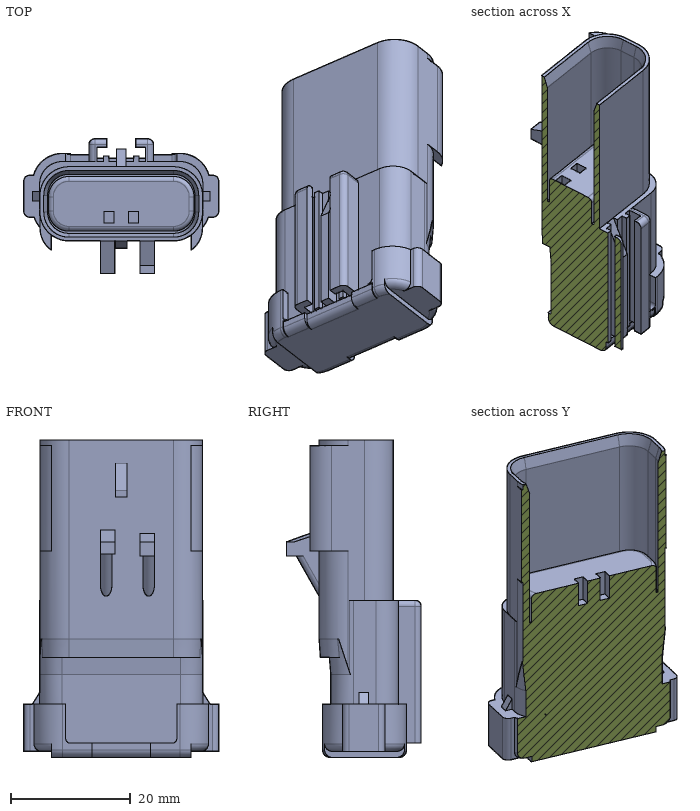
import cadquery as cq
import math

TOTAL_HEIGHT = 53.0

SHELL_HALF_X = 13.55
SHELL_HALF_Y = 6.2
SHELL_RADIUS = 4.8
RIM_WALL = 0.65
LEAD_IN_DEPTH = 1.95
CAVITY_WALL = 1.25
CAVITY_FLOOR_Z = 26.5

MOAT_END = 0.15
MOAT_SIDE = 0.35
ISLAND_TOP_Z = 31.8
ISLAND_ROUND = 0.8
TERMINAL_SIZE = (1.65, 1.95)
TERMINAL_SPACING = 4.1
TERMINAL_Y = -2.2
TERMINAL_DEPTH = 4.25

LOWER_HALF_X = 13.6
LOWER_FRONT_Y = -4.25
LOWER_BACK_Y = 7.05
LOWER_RADIUS = 3.75
LOWER_TOP_Z = 26.25

TRANSITION_TOP_Z = 19.75
STEP_Z = 16.7
TRANSITION_BOTTOM_Z = 13.85
TRANSITION_TOP_Y = -2.9
TRANSITION_BOTTOM_Y = -0.95
STEP_DRAFT = 4.0
FLARE_DRAFT = 5.0

COLLAR_MARGIN_X = 1.2
COLLAR_MARGIN_Y = 1.4
COLLAR_RADIUS = 5.05
COLLAR_TOP_Z = 8.9
COLLAR_BOTTOM_Z = 1.0
COLLAR_ROUND = 1.25
FOOT_HALF_X = 11.65
EAR_SPAN = 32.6
EAR_WIDTH = 7.05
EAR_MID_Y = 1.25
EAR_ROUND = 1.05
WINDOW_HALF_X = 9.3
WINDOW_BOTTOM_Z = 2.4
WINDOW_RADIUS = 0.8
BACK_SILL_INSET = 0.2
SILL_NOTCH_HALF_X = 4.9
SILL_NOTCH_DEPTH = 0.8
GUSSET_TOP_Z = 10.85
GUSSET_REACH = 1.2
GUSSET_WIDTH = 1.6

WING_INNER_X = 11.65
WING_TIP_Y = -7.75
WING_ARC_Y = -4.1
WING_BOTTOM_Z = 34.45
WING_TOP_Z = 52.05

TAB_WIDTH = 1.95
TAB_REACH = 1.2
TAB_TOP_Z = 49.1
TAB_EDGE_Z = 44.5
TAB_BOTTOM_Z = 43.45

HOOK_TIP_Y = -11.65
HOOK_TIP_Z = 36.0
HOOK_WIDTH = 2.45
LEFT_HOOK_X = -3.5
RIGHT_HOOK_X = 3.15
LEFT_HOOK_ROOT_Z = 37.95
RIGHT_HOOK_ROOT_Z = 37.35
LEFT_HOOK_UNDER_Z = 33.9
RIGHT_HOOK_UNDER_Z = 33.6
RIGHT_HOOK_FLAT = 1.4
WEB_WIDTH = 1.95
WEB_FOOT_Z = 26.9
WEB_TOP_Y = -9.95

RAIL_OUTER_X = 5.4
RAIL_LEG = 1.4
RAIL_LIP = 3.0
RAIL_LIP_THICKNESS = 1.45
RAIL_BACK_Y = 10.85
RAIL_ROUND = 1.0
LATCH_WIDTH = 1.65
LATCH_BACK_Y = 9.15
LATCH_DROP = 6.35
RIB_SPACING = 5.05
RIB_WIDTH = 0.9
RIB_BACK_Y = 8.0

OVERLAP = 0.55

LOWER_MID_Y = (LOWER_FRONT_Y + LOWER_BACK_Y) / 2
LOWER_HALF_Y = (LOWER_BACK_Y - LOWER_FRONT_Y) / 2
COLLAR_HALF_X = LOWER_HALF_X + COLLAR_MARGIN_X
COLLAR_HALF_Y = LOWER_HALF_Y + COLLAR_MARGIN_Y


def box(x0, x1, y0, y1, z0, z1):
    """Box given by its limits along each axis."""
    return cq.Workplane("XY").box(x1 - x0, y1 - y0, z1 - z0, centered=False).translate((x0, y0, z0))


def rounded_section(half_x, half_y, radius, z, mid_y=0.0):
    """Rounded rectangle at height z, ready to extrude."""
    sketch = cq.Sketch().rect(2 * half_x, 2 * half_y).vertices().fillet(radius)
    return cq.Workplane("XY", origin=(0, mid_y, z)).placeSketch(sketch)


def side_profile(points, x0, width):
    """Closed outline of (y, z) points, extruded along +X from x0."""
    return cq.Workplane("YZ", origin=(x0, 0, 0)).polyline(points).close().extrude(width)


def both_sides(part):
    """The part together with its mirror image across X = 0."""
    return part.union(part.mirror("YZ"))


def transition_zone():
    """Wedge of space in front of the sloped boundary between shell and lower body."""
    front = HOOK_TIP_Y
    points = [
        (front, TRANSITION_BOTTOM_Z),
        (TRANSITION_BOTTOM_Y, TRANSITION_BOTTOM_Z),
        (TRANSITION_TOP_Y, TRANSITION_TOP_Z),
        (front, TRANSITION_TOP_Z),
    ]
    return side_profile(points, -EAR_SPAN / 2, EAR_SPAN)


def make_body():
    """Upper shell, lower body and the drafted step between them."""
    zone = transition_zone()
    shell = rounded_section(SHELL_HALF_X, SHELL_HALF_Y, SHELL_RADIUS, TRANSITION_BOTTOM_Z)
    shell = shell.extrude(TOTAL_HEIGHT - TRANSITION_BOTTOM_Z).cut(zone)
    step = rounded_section(SHELL_HALF_X, SHELL_HALF_Y, SHELL_RADIUS, TRANSITION_TOP_Z)
    step = step.extrude(STEP_Z - TRANSITION_TOP_Z, taper=STEP_DRAFT)
    flare = rounded_section(LOWER_HALF_X, LOWER_HALF_Y, LOWER_RADIUS, TRANSITION_BOTTOM_Z, LOWER_MID_Y)
    flare = flare.extrude(TRANSITION_TOP_Z - TRANSITION_BOTTOM_Z, taper=-FLARE_DRAFT)
    lower = rounded_section(LOWER_HALF_X, LOWER_HALF_Y, LOWER_RADIUS, COLLAR_BOTTOM_Z, LOWER_MID_Y)
    lower = lower.extrude(LOWER_TOP_Z - COLLAR_BOTTOM_Z)
    return shell.union(lower).union(step.union(flare).intersect(zone))


def make_cavity():
    """Space inside the shell: sloped mouth, straight walls and a moat around the island."""
    def inset_section(inset, z):
        return rounded_section(SHELL_HALF_X - inset, SHELL_HALF_Y - inset, SHELL_RADIUS - inset, z)

    lead_in_z = TOTAL_HEIGHT - LEAD_IN_DEPTH
    cavity = inset_section(CAVITY_WALL, CAVITY_FLOOR_Z).extrude(lead_in_z - CAVITY_FLOOR_Z)
    draft = math.degrees(math.atan2(CAVITY_WALL - RIM_WALL, LEAD_IN_DEPTH))
    mouth = inset_section(CAVITY_WALL, lead_in_z).extrude(LEAD_IN_DEPTH, taper=-draft)
    island = rounded_section(
        SHELL_HALF_X - CAVITY_WALL - MOAT_END,
        SHELL_HALF_Y - CAVITY_WALL - MOAT_SIDE,
        SHELL_RADIUS - CAVITY_WALL - MOAT_END,
        CAVITY_FLOOR_Z,
    )
    island = island.extrude(ISLAND_TOP_Z - CAVITY_FLOOR_Z).faces(">Z").edges().fillet(ISLAND_ROUND)
    terminals = (
        cq.Workplane("XY", origin=(0, TERMINAL_Y, ISLAND_TOP_Z))
        .pushPoints([(-TERMINAL_SPACING / 2, 0), (TERMINAL_SPACING / 2, 0)])
        .rect(*TERMINAL_SIZE)
        .extrude(-TERMINAL_DEPTH)
    )
    return cavity.union(mouth).cut(island).union(terminals)


def window_cutter(outer_y, wall_y):
    """Opening in the collar wall between outer_y and the lower body face at wall_y."""
    height = COLLAR_TOP_Z - WINDOW_BOTTOM_Z + OVERLAP
    opening = cq.Workplane("XY").box(2 * WINDOW_HALF_X, abs(outer_y - wall_y), height)
    opening = opening.edges("|Y and <Z").fillet(WINDOW_RADIUS)
    return opening.translate((0, (outer_y + wall_y) / 2, WINDOW_BOTTOM_Z + height / 2))


def make_sill(front_y, back_y):
    """Foot below the windows, rounded along its lower edges and notched in the middle."""
    def bar(half_x, front_inset, back_inset):
        block = box(-half_x, half_x, front_y + front_inset, back_y - back_inset, 0, WINDOW_BOTTOM_Z)
        return block.edges("|X and <Z").fillet(COLLAR_ROUND)

    gap = box(-SILL_NOTCH_HALF_X, SILL_NOTCH_HALF_X, front_y, back_y, 0, WINDOW_BOTTOM_Z)
    middle = bar(SILL_NOTCH_HALF_X, SILL_NOTCH_DEPTH, SILL_NOTCH_DEPTH)
    return bar(WINDOW_HALF_X, 0, BACK_SILL_INSET).cut(gap).union(middle)


def make_collar():
    """Collar with a stepped foot, side ears and gussets, and windows front and back."""
    def collar_block(z):
        block = rounded_section(COLLAR_HALF_X, COLLAR_HALF_Y, COLLAR_RADIUS, z, LOWER_MID_Y)
        return block.extrude(COLLAR_TOP_Z - z).faces("<Z").edges().fillet(COLLAR_ROUND)

    front_y = LOWER_MID_Y - COLLAR_HALF_Y
    back_y = LOWER_MID_Y + COLLAR_HALF_Y
    foot_span = box(-FOOT_HALF_X, FOOT_HALF_X, front_y, back_y, 0, COLLAR_TOP_Z)
    collar = collar_block(COLLAR_BOTTOM_Z).union(collar_block(0).intersect(foot_span))

    ears = cq.Workplane("XY").box(EAR_SPAN, EAR_WIDTH, COLLAR_TOP_Z - COLLAR_BOTTOM_Z)
    ears = ears.edges("|Z").fillet(EAR_ROUND)
    collar = collar.union(ears.translate((0, EAR_MID_Y, (COLLAR_TOP_Z + COLLAR_BOTTOM_Z) / 2)))

    for outer_y, wall_y in ((front_y, LOWER_FRONT_Y), (back_y, LOWER_BACK_Y)):
        collar = collar.cut(window_cutter(outer_y, wall_y))
    collar = collar.cut(box(-WINDOW_HALF_X, WINDOW_HALF_X, front_y, back_y, 0, WINDOW_BOTTOM_Z))
    collar = collar.union(make_sill(front_y, back_y))

    gusset = (
        cq.Workplane("XZ", origin=(0, EAR_MID_Y + GUSSET_WIDTH / 2, 0))
        .moveTo(LOWER_HALF_X - OVERLAP, COLLAR_TOP_Z)
        .lineTo(LOWER_HALF_X + GUSSET_REACH, COLLAR_TOP_Z)
        .lineTo(LOWER_HALF_X, GUSSET_TOP_Z)
        .lineTo(LOWER_HALF_X - OVERLAP, GUSSET_TOP_Z)
        .close()
        .extrude(GUSSET_WIDTH)
    )
    return collar.union(both_sides(gusset))


def make_wings():
    """Curved guide wings that run tangent off the shell sides."""
    side_x = SHELL_HALF_X
    run_x = side_x - WING_INNER_X
    run_y = WING_ARC_Y - WING_TIP_Y
    radius = (run_x**2 + run_y**2) / (2 * run_x)
    wing = (
        cq.Workplane("XY", origin=(0, 0, WING_BOTTOM_Z))
        .moveTo(WING_INNER_X, WING_TIP_Y)
        .radiusArc((side_x, WING_ARC_Y), -radius)
        .lineTo(side_x, SHELL_RADIUS - SHELL_HALF_Y)
        .lineTo(side_x - OVERLAP, SHELL_RADIUS - SHELL_HALF_Y)
        .lineTo(WING_INNER_X, WING_ARC_Y)
        .close()
        .extrude(WING_TOP_Z - WING_BOTTOM_Z)
    )
    return both_sides(wing)


def make_tab():
    """Small ramped tab on the front face."""
    root_y = -SHELL_HALF_Y
    tip_y = root_y - TAB_REACH
    points = [
        (root_y + OVERLAP, TAB_TOP_Z),
        (root_y, TAB_TOP_Z),
        (tip_y, TAB_EDGE_Z),
        (tip_y, TAB_BOTTOM_Z),
        (root_y + OVERLAP, TAB_BOTTOM_Z),
    ]
    return side_profile(points, -TAB_WIDTH / 2, TAB_WIDTH)


def make_hook(hook_x, web_x, root_z, under_z, flat):
    """Front hook: a sloped head on a round-nosed diagonal web."""
    inner_y = OVERLAP - SHELL_HALF_Y
    head = [
        (inner_y, root_z),
        (-SHELL_HALF_Y, root_z),
        (HOOK_TIP_Y + flat, HOOK_TIP_Z),
    ]
    if flat > 0:
        head.append((HOOK_TIP_Y, HOOK_TIP_Z))
    head += [(HOOK_TIP_Y, under_z), (inner_y, under_z)]

    radius = WEB_WIDTH / 2
    angle = math.atan2(RIGHT_HOOK_UNDER_Z - WEB_FOOT_Z, -SHELL_HALF_Y - WEB_TOP_Y)
    foot_y = inner_y + radius * math.sin(angle)
    foot_z = WEB_FOOT_Z - OVERLAP * math.tan(angle) + radius * math.cos(angle)
    length = (HOOK_TIP_Z - foot_z) / math.sin(angle)
    top_y = foot_y - length * math.cos(angle)
    web = side_profile([(foot_y, foot_z), (top_y, HOOK_TIP_Z), (foot_y, HOOK_TIP_Z)], web_x, WEB_WIDTH)
    axis = cq.Plane(
        origin=(web_x + radius, foot_y, foot_z),
        xDir=(1, 0, 0),
        normal=(0, -math.cos(angle), math.sin(angle)),
    )
    web = web.union(cq.Workplane(axis).circle(radius).extrude(length))
    below_head = box(web_x, web_x + WEB_WIDTH, HOOK_TIP_Y, inner_y, 0, under_z)
    return side_profile(head, hook_x, HOOK_WIDTH).union(web.intersect(below_head))


def make_rails():
    """Pair of hooked rails down the back, with rounded top and outer corners."""
    root_y = LOWER_BACK_Y - OVERLAP
    inner_x = RAIL_OUTER_X - RAIL_LEG
    lip_y = RAIL_BACK_Y - RAIL_LIP_THICKNESS
    block = box(RAIL_OUTER_X - RAIL_LIP, RAIL_OUTER_X, root_y, RAIL_BACK_Y, WINDOW_BOTTOM_Z, LOWER_TOP_Z)
    block = block.edges(">Y and >X").fillet(RAIL_ROUND).faces(">Y").edges(">Z").fillet(RAIL_ROUND)
    groove = box(0, inner_x, root_y, lip_y, WINDOW_BOTTOM_Z, LOWER_TOP_Z)
    return both_sides(block.cut(groove))


def make_latch_rib():
    """Central rib on the back, with a top that slopes away from the shell."""
    points = [
        (SHELL_HALF_Y - OVERLAP, LOWER_TOP_Z),
        (SHELL_HALF_Y, LOWER_TOP_Z),
        (LATCH_BACK_Y, LOWER_TOP_Z - LATCH_DROP),
        (LATCH_BACK_Y, WINDOW_BOTTOM_Z),
        (SHELL_HALF_Y - OVERLAP, WINDOW_BOTTOM_Z),
    ]
    return side_profile(points, -LATCH_WIDTH / 2, LATCH_WIDTH)


def make_small_ribs():
    """Pair of low ribs between the rails."""
    rib = box(
        (RIB_SPACING - RIB_WIDTH) / 2, (RIB_SPACING + RIB_WIDTH) / 2,
        LOWER_BACK_Y - OVERLAP, RIB_BACK_Y,
        WINDOW_BOTTOM_Z, LOWER_TOP_Z,
    )
    return both_sides(rib)


latch_slot = box(-LATCH_WIDTH / 2, LATCH_WIDTH / 2, SHELL_HALF_Y, LATCH_BACK_Y, WINDOW_BOTTOM_Z, LOWER_TOP_Z)
left_hook = make_hook(LEFT_HOOK_X, LEFT_HOOK_X, LEFT_HOOK_ROOT_Z, LEFT_HOOK_UNDER_Z, 0)
right_web_x = RIGHT_HOOK_X + HOOK_WIDTH - WEB_WIDTH
right_hook = make_hook(RIGHT_HOOK_X, right_web_x, RIGHT_HOOK_ROOT_Z, RIGHT_HOOK_UNDER_Z, RIGHT_HOOK_FLAT)

result = make_body().cut(latch_slot)
for feature in (
    make_collar(), make_wings(), make_tab(), left_hook, right_hook,
    make_rails(), make_latch_rib(), make_small_ribs(),
):
    result = result.union(feature)
result = result.cut(make_cavity())